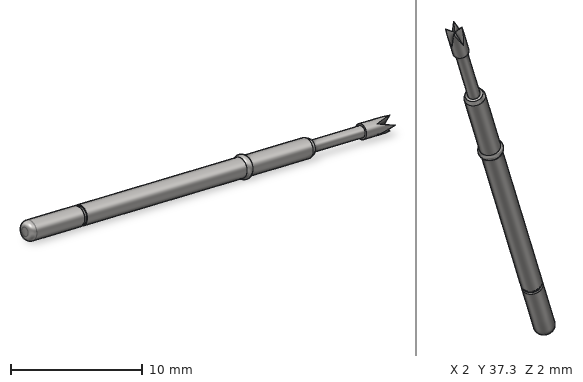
import cadquery as cq
import math

overall_length = 37.3

barrel_radius = 0.84
tail_fillet = 0.47
barrel_length = 29.07
mouth_radius = 0.7
mouth_length = 0.35

ring_radius = 1.0
ring_width = 0.6
ring_center = 22.26

groove_radius = 0.75
groove_start = 5.36
groove_slope_length = 0.1
groove_width = 0.28

shaft_radius = 0.48
head_radius = 0.64
head_length = 2.95

tine_count = 4
crown_center_depth = 0.56
crown_rim_depth = 1.7


def make_barrel():
    """Revolve the barrel, its rounded tail, sloped crimp groove, stop ring and tapered mouth."""
    groove_end = groove_start + groove_width
    ring_start = ring_center - ring_width / 2
    ring_end = ring_center + ring_width / 2
    arc_offset = tail_fillet * math.sqrt(0.5)
    arc_middle = (barrel_radius - tail_fillet + arc_offset, tail_fillet - arc_offset)
    return (
        cq.Workplane("ZY")
        .lineTo(barrel_radius - tail_fillet, 0)
        .threePointArc(arc_middle, (barrel_radius, tail_fillet))
        .lineTo(barrel_radius, groove_start)
        .lineTo(groove_radius, groove_start + groove_slope_length)
        .lineTo(groove_radius, groove_end)
        .lineTo(barrel_radius, groove_end)
        .lineTo(barrel_radius, ring_start)
        .threePointArc((ring_radius, ring_center), (barrel_radius, ring_end))
        .lineTo(barrel_radius, barrel_length - mouth_length)
        .lineTo(mouth_radius, barrel_length)
        .lineTo(0, barrel_length)
        .close()
        .revolve(360, (0, 0, 0), (0, 1, 0))
    )


def make_plunger():
    """Revolve the plunger shaft and its wider head, starting at the barrel mouth."""
    head_start = overall_length - head_length
    return (
        cq.Workplane("ZY")
        .moveTo(0, barrel_length)
        .lineTo(shaft_radius, barrel_length)
        .lineTo(shaft_radius, head_start)
        .lineTo(head_radius, head_start)
        .lineTo(head_radius, overall_length)
        .lineTo(0, overall_length)
        .close()
        .revolve(360, (0, 0, 0), (0, 1, 0))
    )


def make_notch():
    """Build the V notch that runs out from the axis toward +X, its floor sinking toward the rim.

    The two walls meet the neighbouring notches in ridges that rise from the crown
    center to the sharp tine tips on the head's rim.
    """
    floor_drop = crown_rim_depth - crown_center_depth
    tip_offset = head_radius * math.sqrt(0.5)
    wall_slope = (crown_center_depth + floor_drop * tip_offset / head_radius) / tip_offset
    reach = 2 * head_radius
    reach_drop = floor_drop * reach / head_radius
    notch_height = crown_center_depth + reach_drop
    half_width = notch_height / wall_slope
    floor_y = overall_length - crown_center_depth
    top_y = floor_y + notch_height
    section = cq.Wire.makePolygon(
        [
            cq.Vector(0, floor_y, 0),
            cq.Vector(0, top_y, half_width),
            cq.Vector(0, top_y, -half_width),
        ],
        close=True,
    )
    notch = cq.Solid.extrudeLinear(section, [], cq.Vector(reach, -reach_drop, 0))
    return cq.Workplane(obj=notch)


def cut_crown(body):
    """Cut the notches midway between neighbouring tines."""
    notch = make_notch()
    pitch = 360 / tine_count
    for index in range(tine_count):
        angle = (index + 0.5) * pitch
        body = body.cut(notch.rotate((0, 0, 0), (0, 1, 0), angle))
    return body


result = make_barrel().union(cut_crown(make_plunger()))